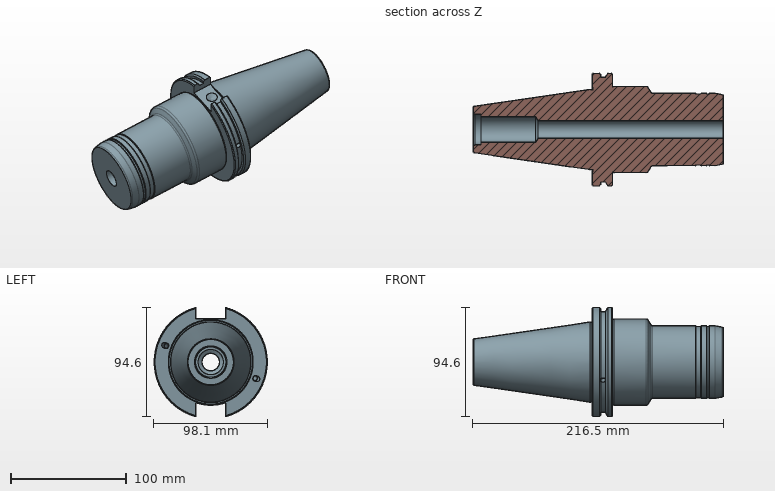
import cadquery as cq
import math

LENGTH = 216.5

TAPER_END = 101.2
TAPER_BIG_RADIUS = 34.9
TAPER_SLOPE = 7 / 48
TAPER_CHAMFER_LENGTH = 0.9
TAPER_CHAMFER_DEPTH = 0.6

NECK_RADIUS = 69.3 / 2
NECK_CHAMFER_LENGTH = 0.9
RECESS_RADIUS = 36.8
RECESS_DEPTH = 0.6
FLANGE_START = 103.0
FLANGE_END = 120.6
FLANGE_RADIUS = 98.1 / 2
FLANGE_CHAMFER = 0.9
GROOVE_RADIUS = 45.5
GROOVE_START = 110.5
GROOVE_END = 114.4
GROOVE_LEFT_CHAMFER = 1.3
GROOVE_RIGHT_WIDTH = 2.2

BODY_RADIUS = 75.0 / 2
BODY_CHAMFER_LENGTH = 1.0
BODY_CHAMFER_DEPTH = 0.6
SHOULDER_START = 151.0
SHOULDER_ANGLE = 60.0
SHOULDER_OUTER_ROUND = 2.2
SHOULDER_INNER_ROUND = 1.5
SELECTION_MARGIN = 0.2
NOSE_RADIUS = 63.0 / 2
SHOULDER_LENGTH = (BODY_RADIUS - NOSE_RADIUS) / math.tan(math.radians(SHOULDER_ANGLE))
SHOULDER_END = SHOULDER_START + SHOULDER_LENGTH
NOSE_GROOVE_RADIUS = 62.0 / 2
NOSE_GROOVES = ((192.5, 197.5), (201.9, 204.7))
NOSE_TAPER_START = 209.5
NOSE_TAPER_DROP = 1.0
NOSE_EDGE_LENGTH = 1.3
NOSE_EDGE_DROP = 0.6

MOUTH_RADIUS = 28.2 / 2
MOUTH_CHAMFER_LENGTH = 1.7
COUNTERBORE_RADIUS = 26.2 / 2
COUNTERBORE_DEPTH = 6.7
THREAD_BORE_RADIUS = 21.9 / 2
THREAD_BORE_DEPTH = 54.2
THROUGH_RADIUS = 15.0 / 2
DRILL_TIP_ANGLE = 118.0

SLOT_WIDTH = 25.8
TOP_SLOT_FLOOR = 37.7
BOTTOM_SLOT_FLOOR = 35.5
DIMPLE_X = 110.7
DIMPLE_DIAMETER = 9.5

COOLANT_ANGLE = 20.0
COOLANT_FACE_RADIUS = 42.0
COOLANT_TILT = 35.0
COOLANT_MOUTH_DIAMETER = 5.0
COOLANT_MOUTH_DEPTH = 2.0
COOLANT_DIAMETER = 4.1
COOLANT_DEPTH = 13.5
PLUG_DIAMETER = 4.1
PLUG_DEPTH = 9.7


def drill_tip_length(radius_drop):
    return radius_drop / math.tan(math.radians(DRILL_TIP_ANGLE / 2))


def revolve_about_x(profile):
    return profile.close().revolve(360, (0, 0, 0), (1, 0, 0))


def make_body():
    small_radius = TAPER_BIG_RADIUS - TAPER_SLOPE * (TAPER_END - TAPER_CHAMFER_LENGTH)
    rim_radius = FLANGE_RADIUS - FLANGE_CHAMFER
    recess_floor = FLANGE_START + RECESS_DEPTH

    profile = (
        cq.Workplane("XY")
        .moveTo(0, 0)
        .lineTo(0, small_radius - TAPER_CHAMFER_DEPTH)
        .lineTo(TAPER_CHAMFER_LENGTH, small_radius)
        .lineTo(TAPER_END, TAPER_BIG_RADIUS)
        .lineTo(TAPER_END + NECK_CHAMFER_LENGTH, NECK_RADIUS)
        .lineTo(recess_floor, NECK_RADIUS)
        .lineTo(recess_floor, RECESS_RADIUS - RECESS_DEPTH)
        .lineTo(FLANGE_START, RECESS_RADIUS)
        .lineTo(FLANGE_START, rim_radius)
        .lineTo(FLANGE_START + FLANGE_CHAMFER, FLANGE_RADIUS)
        .lineTo(GROOVE_START - GROOVE_LEFT_CHAMFER, FLANGE_RADIUS)
        .lineTo(GROOVE_START, FLANGE_RADIUS - GROOVE_LEFT_CHAMFER)
        .lineTo(GROOVE_START, GROOVE_RADIUS)
        .lineTo(GROOVE_END, GROOVE_RADIUS)
        .lineTo(GROOVE_END + GROOVE_RIGHT_WIDTH, FLANGE_RADIUS)
        .lineTo(FLANGE_END - FLANGE_CHAMFER, FLANGE_RADIUS)
        .lineTo(FLANGE_END, rim_radius)
        .lineTo(FLANGE_END, BODY_RADIUS - BODY_CHAMFER_DEPTH)
        .lineTo(FLANGE_END + BODY_CHAMFER_LENGTH, BODY_RADIUS)
        .lineTo(SHOULDER_START, BODY_RADIUS)
        .lineTo(SHOULDER_END, NOSE_RADIUS)
        .lineTo(NOSE_TAPER_START, NOSE_RADIUS)
        .lineTo(LENGTH - NOSE_EDGE_LENGTH, NOSE_RADIUS - NOSE_TAPER_DROP)
        .lineTo(LENGTH, NOSE_RADIUS - NOSE_TAPER_DROP - NOSE_EDGE_DROP)
        .lineTo(LENGTH, 0)
    )
    return revolve_about_x(profile)


def shoulder_edge(x):
    """Selects the circular edge that lies in the plane at this X."""
    low_corner = (x - SELECTION_MARGIN, -BODY_RADIUS, -BODY_RADIUS)
    high_corner = (x + SELECTION_MARGIN, BODY_RADIUS, BODY_RADIUS)
    return cq.selectors.BoxSelector(low_corner, high_corner)


def round_shoulder(body):
    body = body.edges(shoulder_edge(SHOULDER_START)).fillet(SHOULDER_OUTER_ROUND)
    return body.edges(shoulder_edge(SHOULDER_END)).fillet(SHOULDER_INNER_ROUND)


def nose_groove(start, end):
    """Ring with 45 degree sides that cuts a shallow groove into the nose."""
    depth = NOSE_RADIUS - NOSE_GROOVE_RADIUS
    return revolve_about_x(
        cq.Workplane("XY")
        .moveTo(start, NOSE_RADIUS)
        .lineTo(start + depth, NOSE_GROOVE_RADIUS)
        .lineTo(end - depth, NOSE_GROOVE_RADIUS)
        .lineTo(end, NOSE_RADIUS)
    )


def central_bore():
    tip_end = THREAD_BORE_DEPTH + drill_tip_length(THREAD_BORE_RADIUS - THROUGH_RADIUS)
    return revolve_about_x(
        cq.Workplane("XY")
        .lineTo(0, MOUTH_RADIUS)
        .lineTo(MOUTH_CHAMFER_LENGTH, COUNTERBORE_RADIUS)
        .lineTo(COUNTERBORE_DEPTH, COUNTERBORE_RADIUS)
        .lineTo(COUNTERBORE_DEPTH, THREAD_BORE_RADIUS)
        .lineTo(THREAD_BORE_DEPTH, THREAD_BORE_RADIUS)
        .lineTo(tip_end, THROUGH_RADIUS)
        .lineTo(LENGTH, THROUGH_RADIUS)
        .lineTo(LENGTH, 0)
    )


def drive_slot(floor, side):
    """Slot across the flange; side is +1 for the top and -1 for the bottom."""
    height = FLANGE_RADIUS - floor
    return cq.Workplane("XY").box(FLANGE_END - FLANGE_START, SLOT_WIDTH, height).translate(
        ((FLANGE_START + FLANGE_END) / 2, 0, side * (floor + height / 2))
    )


def slot_dimple():
    radius = DIMPLE_DIAMETER / 2
    mouth_centre = cq.Vector(DIMPLE_X, 0, TOP_SLOT_FLOOR)
    depth = drill_tip_length(radius)
    return cq.Workplane(cq.Solid.makeCone(radius, 0, depth, mouth_centre, cq.Vector(0, 0, -1)))


def drill(diameter, depth, start, direction):
    return cq.Workplane(cq.Solid.makeCylinder(diameter / 2, depth, start, direction))


def coolant_hole():
    """Hole on the +Y side, leaning inward from the flange face, with its radial plug hole."""
    tilt = math.radians(COOLANT_TILT)
    face_point = cq.Vector(FLANGE_START, COOLANT_FACE_RADIUS, 0)
    inward = cq.Vector(math.cos(tilt), -math.sin(tilt), 0)
    lead = COOLANT_MOUTH_DIAMETER / 2 * math.tan(tilt)
    start = face_point - inward * lead
    mouth = drill(COOLANT_MOUTH_DIAMETER, lead + COOLANT_MOUTH_DEPTH, start, inward)
    passage = drill(COOLANT_DIAMETER, COOLANT_DEPTH, face_point, inward)
    plug_start = cq.Vector((GROOVE_START + GROOVE_END) / 2, FLANGE_RADIUS, 0)
    plug_length = FLANGE_RADIUS - GROOVE_RADIUS + PLUG_DEPTH
    plug = drill(PLUG_DIAMETER, plug_length, plug_start, cq.Vector(0, -1, 0))
    return mouth.union(passage).union(plug)


result = round_shoulder(make_body())
for groove_start, groove_end in NOSE_GROOVES:
    result = result.cut(nose_groove(groove_start, groove_end))
result = result.cut(central_bore())
result = result.cut(drive_slot(TOP_SLOT_FLOOR, 1))
result = result.cut(drive_slot(BOTTOM_SLOT_FLOOR, -1))
result = result.cut(slot_dimple())
for half_turn in (0, 180):
    hole = coolant_hole().rotate((0, 0, 0), (1, 0, 0), COOLANT_ANGLE + half_turn)
    result = result.cut(hole)